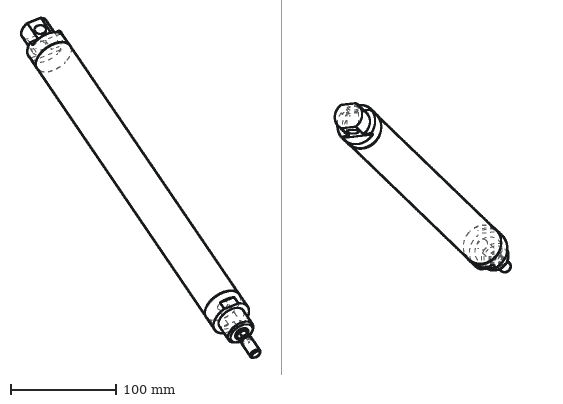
import cadquery as cq

length = 455.0

tongue_end_x = 22.5
tongue_flat_end_x = 26.5
barrel_start_x = 40.0
barrel_end_x = 386.8
cap_flat_start_x = 396.0
front_cap_end_x = 404.5
boss_end_x = 425.5
collar_end_x = 427.0
wrench_flat_end_x = 432.2
thread_start_x = 435.5

barrel_diameter = 38.0
cap_width = barrel_diameter
cap_height = 39.5
cap_flat_height = 36.5

tongue_diameter = 27.8
tongue_thickness = 23.5
pin_hole_diameter = 11.0
pin_hole_x = 12.7

boss_diameter = 27.5
boss_chamfer = 2.0
collar_diameter = 13.5

rod_diameter = 11.0
wrench_flat_height = 9.0
relief_diameter = 8.0
tip_chamfer = 1.5


def section_plane(x):
    """Workplane square to the X axis at one station."""
    return cq.Workplane("YZ", origin=(x, 0, 0))


def round_bar(start_x, end_x, diameter):
    """Round bar on the X axis between two stations."""
    return section_plane(start_x).circle(diameter / 2).extrude(end_x - start_x)


def cap_disc(start_x, end_x):
    """Cap body: a disc slightly narrower across Y than it is tall."""
    return section_plane(start_x).ellipse(cap_width / 2, cap_height / 2).extrude(end_x - start_x)


def cut_flats(bar, start_x, end_x, height):
    """Cut parallel top and bottom flats on a bar, leaving the given height between them."""
    span = end_x - start_x
    kept_slab = section_plane(start_x).rect(2 * cap_width, height).extrude(span)
    cutter = section_plane(start_x).rect(2 * cap_width, 2 * cap_height).extrude(span).cut(kept_slab)
    return bar.cut(cutter)


def make_rear_cap():
    """Cap with a flattened tongue that carries a vertical pin hole."""
    tongue = round_bar(0, tongue_end_x, tongue_diameter)
    cap = cap_disc(tongue_end_x, barrel_start_x).union(tongue)
    cap = cut_flats(cap, 0, tongue_flat_end_x, tongue_thickness)
    pin_hole = (
        cq.Workplane("XY")
        .center(pin_hole_x, 0)
        .circle(pin_hole_diameter / 2)
        .extrude(tongue_thickness, both=True)
    )
    return cap.cut(pin_hole)


def make_barrel():
    """Plain round barrel between the two caps."""
    return round_bar(barrel_start_x, barrel_end_x, barrel_diameter)


def make_front_cap():
    """Cap with top and bottom flats, a chamfered boss, a small collar and a bore for the rod."""
    disc = cap_disc(barrel_end_x, front_cap_end_x)
    disc = cut_flats(disc, cap_flat_start_x, front_cap_end_x, cap_flat_height)
    boss = round_bar(front_cap_end_x, boss_end_x, boss_diameter).faces(">X").chamfer(boss_chamfer)
    collar = round_bar(boss_end_x, collar_end_x, collar_diameter)
    rod_bore = round_bar(barrel_end_x, collar_end_x, rod_diameter)
    return disc.union(boss).union(collar).cut(rod_bore)


def make_rod():
    """Piston rod with wrench flats, a thread relief and a chamfered threaded tip."""
    shank = round_bar(barrel_end_x, wrench_flat_end_x, rod_diameter)
    shank = cut_flats(shank, collar_end_x, wrench_flat_end_x, wrench_flat_height)
    relief = round_bar(wrench_flat_end_x, thread_start_x, relief_diameter)
    thread = round_bar(thread_start_x, length, rod_diameter).faces(">X").chamfer(tip_chamfer)
    return shank.union(relief).union(thread)


rear_cap = make_rear_cap()
barrel = make_barrel()
front_cap = make_front_cap()
rod = make_rod()

bodies = [rear_cap, barrel, front_cap, rod]
result = cq.Compound.makeCompound([body.solids().val() for body in bodies])